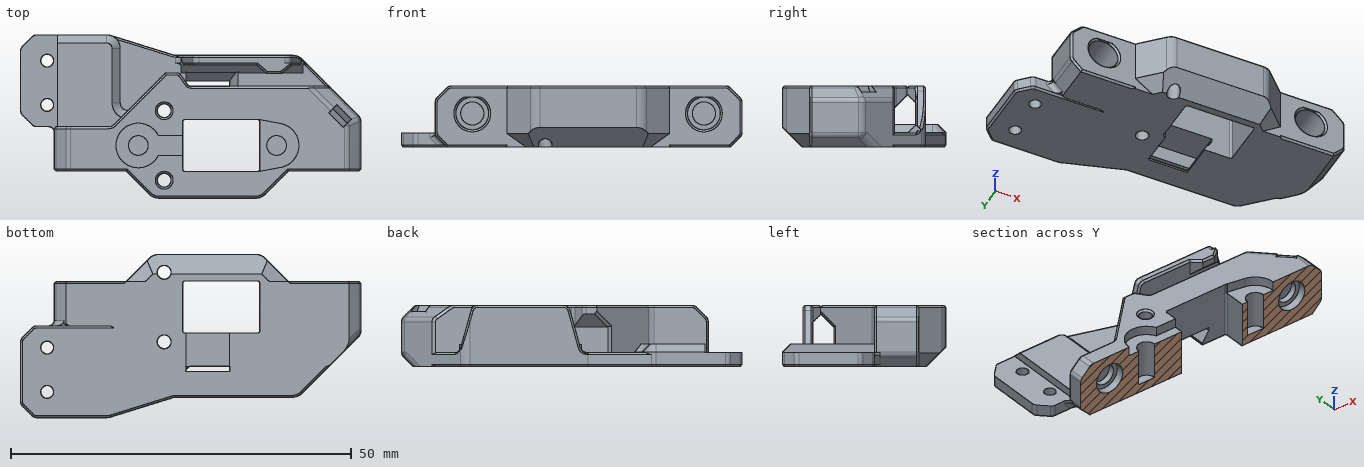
import cadquery as cq
import math

LENGTH = 50.0
DEPTH = 24.0
HEIGHT = 9.0
EDGE_BREAK = 0.3
TOL = 0.01
OVERLAP = 1.0

FLOOR_T = 2.1
TAB_FRONT = 10.5
TAB_CORNER = 2.0
TAB_HOLE_D = 1.85
TAB_HOLE_X = 3.92
TAB_HOLE_Y = (13.7, 20.2)
CLIP_BACK = 21.0
SHOULDER_X = 12.95
CLIP_BASE_LEFT = 22.6
REAR_DIAGONAL_SUM = 61.75
CORNER_R = 2.0
TAB_R = 1.0
TAB_BLEND_R = 0.8

PAD_LEFT = 5.45
PAD_RIGHT = 14.65
PAD_TOP = 3.35
PAD_BEVEL = 1.2
PAD_FLARE_R = 1.1
PAD_FLARE_Y = 14.0

BODY_LEFT = 4.95
BAR_FRONT = 4.0
BODY_BACK = 16.45
JOG_BACK = 18.4
JOG_LEFT = 21.3
JOG_RIGHT = 23.3
JOG_FOOT = 24.7
JOG_R = 0.7
WALL_FOOT_R = 1.2
NOSE_LEFT = 19.5
NOSE_RIGHT = 35.35
NOSE_FRONT_BEVEL = 2.9
NOSE_SIDE_BEVEL = 2.0
END_BEVEL = 2.0
END_BEVEL_LOW = 1.75
END_R = 1.0
REAR_CORNER_R = 1.5
JOG_UNDERCUT_Z = 5.8

WINDOW_LEFT = 23.83
WINDOW_RIGHT = 35.12
WINDOW_W = 7.6
WINDOW_R = 0.3
AXIS_Y = 7.75
RECESS_DEPTH = 1.5
RECESS_R = 3.28
KEYHOLE_X = 17.3
LUG_X = 37.6
KEYHOLE_SLOT_W = 2.9
PILOT_D = 2.9
PILOT_DEPTH = 6.0

THROUGH_X = 21.1
THROUGH_D = 2.0
THROUGH_RIM_D = 2.6
THROUGH_Y = (AXIS_Y - 5.1, AXIS_Y + 5.1)

FRONT_HOLE_X = (10.4, 44.4)
FRONT_HOLE_Z = 4.95
FRONT_HOLE_D = 4.8
FRONT_RIM_D = 5.4
FRONT_FLAT = 2.4
FRONT_HOLE_DEPTH = 5.0
FRONT_TIP_D = 3.4
FRONT_TIP_DEPTH = 1.0

CLIP_FRONT = 19.55
CLIP_TOP_LEFT = 25.45
CLIP_TOP_RIGHT = 39.57
CLIP_FOOT_LEFT = 23.55
CLIP_FOOT_RIGHT = 41.5
CLIP_R = 1.0
CLIP_BASE_BEVEL = 1.15
BUMP_FOOT = (34.7, 39.85)
BUMP_TIP = (36.1, 38.3)
BUMP_FRONT = 18.3
BUMP_BOTTOM = 6.5

WIRE_LEFT = 24.3
WIRE_RIGHT_LOW = 30.7
WIRE_RIGHT_HIGH = 31.9
WIRE_TOP = 2.6
WIRE_LIP = 0.3
WIRE_BACK_LOW = 17.2
WIRE_BACK_HIGH = 18.9

NOTCH_LENGTH = 3.0
NOTCH_CENTRE_X = 47.52
NOTCH_OUTER = 1.1
NOTCH_ROOT = 1.95
NOTCH_INNER = 2.8
NOTCH_ROOT_Z = 7.25


def prism_z(points, z0, z1):
    return cq.Workplane("XY").workplane(offset=z0).polyline(points).close().extrude(z1 - z0)


def prism_x(yz_points, x0, x1):
    return cq.Workplane("YZ").workplane(offset=x0).polyline(yz_points).close().extrude(x1 - x0)


def prism_y(xz_points, y0, y1):
    return cq.Workplane("XZ").workplane(offset=-y1).polyline(xz_points).close().extrude(y1 - y0)


def cylinder_z(x, y, diameter, z0, z1):
    return cq.Workplane("XY").workplane(offset=z0).center(x, y).circle(diameter / 2).extrude(z1 - z0)


def upright_at(x, y, reach=0.05):
    """Selector for the vertical edge standing at (x, y)."""
    low = (x - reach, y - reach, -OVERLAP)
    high = (x + reach, y + reach, HEIGHT + OVERLAP)
    return cq.selectors.BoxSelector(low, high)


def floor_outline(z0, z1):
    diagonal_top_x = REAR_DIAGONAL_SUM - CLIP_BACK
    outline = [
        (BODY_LEFT, TAB_FRONT),
        (TAB_CORNER, TAB_FRONT),
        (0, TAB_FRONT + TAB_CORNER),
        (0, DEPTH - TAB_CORNER),
        (TAB_CORNER, DEPTH),
        (SHOULDER_X, DEPTH),
        (CLIP_BASE_LEFT, CLIP_BACK),
        (diagonal_top_x, CLIP_BACK),
        (REAR_DIAGONAL_SUM - BODY_BACK + END_BEVEL, BODY_BACK - END_BEVEL),
        (JOG_FOOT, TAB_FRONT),
    ]
    plate = prism_z(outline, z0, z1)
    for corner in outline[1:5]:
        plate = plate.edges(upright_at(*corner)).fillet(TAB_R)
    for corner in (outline[5], outline[7]):
        plate = plate.edges(upright_at(*corner)).fillet(CORNER_R)
    return plate


def make_floor():
    """Floor plate with a broken lower rim and broken upper edges along its two slanted rear sides."""
    def rear_diagonal(edge):
        centre = edge.Center()
        return centre.z > FLOOR_T - TOL and centre.x + centre.y > REAR_DIAGONAL_SUM - TOL

    floor = floor_outline(0, FLOOR_T).faces("<Z").chamfer(EDGE_BREAK)
    floor = floor.newObject([e for e in floor.edges("%LINE").vals() if rear_diagonal(e)]).chamfer(EDGE_BREAK)

    run = CLIP_BASE_LEFT - SHOULDER_X
    drop = DEPTH - CLIP_BACK
    edge_break = prism_x(
        [
            (-EDGE_BREAK, FLOOR_T),
            (0, FLOOR_T - EDGE_BREAK),
            (OVERLAP, FLOOR_T - EDGE_BREAK),
            (OVERLAP, FLOOR_T),
        ],
        0,
        math.hypot(run, drop),
    )
    slope_angle = -math.degrees(math.atan2(drop, run))
    return floor.cut(edge_break.rotate((0, 0, 0), (0, 0, 1), slope_angle).translate((SHOULDER_X, DEPTH, 0)))


def make_pad():
    """Raised pad, bevelled along the rear and right, flaring in a quarter circle into the body wall."""
    flare_x = PAD_RIGHT + PAD_FLARE_R
    flare_mid = PAD_FLARE_R * (1 - math.sqrt(0.5))
    pad = (
        cq.Workplane("XY")
        .workplane(offset=EDGE_BREAK)
        .moveTo(PAD_LEFT, TAB_FRONT)
        .lineTo(PAD_LEFT, DEPTH)
        .lineTo(PAD_RIGHT, DEPTH)
        .lineTo(PAD_RIGHT, PAD_FLARE_Y)
        .threePointArc(
            (PAD_RIGHT + flare_mid, PAD_FLARE_Y - PAD_FLARE_R + flare_mid),
            (flare_x, PAD_FLARE_Y - PAD_FLARE_R),
        )
        .lineTo(flare_x + EDGE_BREAK, PAD_FLARE_Y - PAD_FLARE_R)
        .lineTo(flare_x + EDGE_BREAK, TAB_FRONT)
        .close()
        .extrude(PAD_TOP - EDGE_BREAK)
    )
    pad = pad.edges(upright_at(PAD_RIGHT, DEPTH)).fillet(CORNER_R)

    def bevelled(edge):
        box = edge.BoundingBox()
        inner_end = box.xmin > flare_x + TOL
        return box.xmax > PAD_LEFT + TOL and box.ymax > TAB_FRONT + TOL and not inner_end

    return pad.newObject([e for e in pad.faces(">Z").edges().vals() if bevelled(e)]).chamfer(PAD_BEVEL)


def body_outline():
    diagonal_end_y = REAR_DIAGONAL_SUM - LENGTH
    return [
        (BODY_LEFT, BAR_FRONT),
        (NOSE_LEFT - BAR_FRONT, BAR_FRONT),
        (NOSE_LEFT, 0),
        (NOSE_RIGHT, 0),
        (NOSE_RIGHT + BAR_FRONT, BAR_FRONT),
        (LENGTH, BAR_FRONT),
        (LENGTH, diagonal_end_y),
        (REAR_DIAGONAL_SUM - BODY_BACK, BODY_BACK),
        (JOG_FOOT, BODY_BACK),
        (JOG_RIGHT, JOG_BACK),
        (JOG_LEFT, JOG_BACK),
        (JOG_LEFT - (JOG_BACK - TAB_FRONT), TAB_FRONT),
        (BODY_LEFT, TAB_FRONT),
    ]


def bevel_ends(body):
    """Bevel the left and right ends and the top of the rear right diagonal, with rounded transitions."""
    def on_top(edge):
        centre = edge.Center()
        on_diagonal = centre.x + centre.y > REAR_DIAGONAL_SUM - EDGE_BREAK
        at_end = centre.x < BODY_LEFT + EDGE_BREAK or centre.x > LENGTH - EDGE_BREAK
        return centre.z > HEIGHT - EDGE_BREAK and (on_diagonal or at_end)

    def on_bottom(edge):
        centre = edge.Center()
        at_end = centre.x < BODY_LEFT + EDGE_BREAK or centre.x > LENGTH - EDGE_BREAK
        return centre.z < EDGE_BREAK and at_end

    def transition(edge):
        centre = edge.Center()
        low = abs(centre.z - END_BEVEL_LOW) < TOL
        high = abs(centre.z - (HEIGHT - END_BEVEL)) < TOL
        top = centre.z > HEIGHT - TOL
        on_left = centre.x < BODY_LEFT + END_BEVEL + TOL
        on_right = centre.x > LENGTH - END_BEVEL - TOL
        bevel_top_sum = REAR_DIAGONAL_SUM - END_BEVEL * math.sqrt(2)
        on_diagonal = centre.x + centre.y > bevel_top_sum - TOL
        off_front = abs(centre.y - BAR_FRONT) > TOL
        return (low or high or top) and (on_left or on_right or on_diagonal) and off_front

    for wanted, size in ((on_top, END_BEVEL), (on_bottom, END_BEVEL_LOW)):
        body = body.newObject([e for e in body.edges().vals() if wanted(e)]).chamfer(size)
    rounded = [e for e in body.edges().vals() if transition(e)]
    body = body.newObject(rounded).fillet(END_R)
    return body.edges(upright_at(LENGTH, REAR_DIAGONAL_SUM - LENGTH)).fillet(REAR_CORNER_R)


def bevel_nose(body):
    """Slope the underside of the nose at 45 degrees, in front and along both diagonal sides."""
    front_reach = NOSE_FRONT_BEVEL + OVERLAP
    front = prism_x(
        [(-OVERLAP, -OVERLAP), (front_reach, -OVERLAP), (-OVERLAP, front_reach)],
        NOSE_LEFT - BAR_FRONT,
        NOSE_RIGHT + BAR_FRONT,
    )
    body = body.cut(front)
    reach = NOSE_SIDE_BEVEL + OVERLAP
    half_length = 2 * BAR_FRONT
    side = prism_x([(-OVERLAP, -OVERLAP), (reach, -OVERLAP), (-OVERLAP, reach)], -half_length, half_length)
    keep_bar = cq.Workplane("XY").box(LENGTH, BAR_FRONT, HEIGHT, centered=False)
    for x, angle in ((NOSE_LEFT, -45), (NOSE_RIGHT, 45)):
        body = body.cut(side.rotate((0, 0, 0), (0, 0, 1), angle).translate((x, 0, 0)).intersect(keep_bar))
    return body


def break_edges(body):
    """Small chamfer around the top face and around the two front faces of the bar."""
    def on_top(edge):
        centre = edge.Center()
        bevel_inner = REAR_DIAGONAL_SUM - (END_BEVEL + END_R) * math.sqrt(2)
        at_bevel = centre.x < BODY_LEFT + END_BEVEL + END_R and edge.BoundingBox().xlen < TOL
        at_bevel = at_bevel or centre.x > LENGTH - END_BEVEL - END_R
        at_bevel = at_bevel or centre.x + centre.y > bevel_inner
        return centre.z > HEIGHT - TOL and not at_bevel

    def on_front(edge):
        box = edge.BoundingBox()
        on_plane = abs(box.ymin - BAR_FRONT) < TOL and box.ylen < TOL
        nose = NOSE_LEFT - BAR_FRONT - TOL < edge.Center().x < NOSE_RIGHT + BAR_FRONT + TOL
        return on_plane and not nose

    edges = body.edges().vals()
    return body.newObject([e for e in edges if on_top(e) or on_front(e)]).chamfer(EDGE_BREAK)


def undercut_jog(body):
    """Open the gap below the jog, leaving a 45 degree underside."""
    rise = CLIP_FRONT - BODY_BACK
    gap = prism_x(
        [
            (BODY_BACK, FLOOR_T),
            (CLIP_FRONT, FLOOR_T),
            (CLIP_FRONT, JOG_UNDERCUT_Z + rise),
            (BODY_BACK, JOG_UNDERCUT_Z),
        ],
        PAD_RIGHT,
        JOG_FOOT + OVERLAP,
    )
    body = body.cut(gap)

    def gap_rim(edge):
        centre = edge.Center()
        wall_x = JOG_LEFT - JOG_BACK + centre.y
        on_wall = abs(centre.x - wall_x) < TOL
        return on_wall and BODY_BACK - TOL < centre.y < JOG_BACK - TOL and centre.z < HEIGHT - 2 * EDGE_BREAK

    return body.newObject([e for e in body.edges().vals() if gap_rim(e)]).chamfer(EDGE_BREAK)


def make_body():
    outline = body_outline()
    body = prism_z(outline, 0, HEIGHT)
    for x in (NOSE_LEFT, NOSE_RIGHT):
        body = body.edges(upright_at(x, 0)).fillet(CORNER_R)
    for corner in ((JOG_FOOT, BODY_BACK), (JOG_RIGHT, JOG_BACK)):
        body = body.edges(upright_at(*corner)).fillet(JOG_R)
    wall_foot_x = JOG_LEFT - (JOG_BACK - TAB_FRONT)
    body = body.edges(upright_at(wall_foot_x, TAB_FRONT)).fillet(WALL_FOOT_R)
    body = break_edges(bevel_ends(body))
    return undercut_jog(bevel_nose(body))


def make_clip():
    profile = [
        (CLIP_FOOT_LEFT - CLIP_R, EDGE_BREAK),
        (CLIP_FOOT_LEFT - CLIP_R, FLOOR_T),
        (CLIP_FOOT_LEFT, FLOOR_T),
        (CLIP_TOP_LEFT, HEIGHT),
        (CLIP_TOP_RIGHT, HEIGHT),
        (CLIP_FOOT_RIGHT, FLOOR_T),
        (CLIP_FOOT_RIGHT + CLIP_R, FLOOR_T),
        (CLIP_FOOT_RIGHT + CLIP_R, EDGE_BREAK),
    ]
    wall = prism_y(profile, CLIP_FRONT, CLIP_BACK)
    rounded_x = (CLIP_FOOT_LEFT, CLIP_TOP_LEFT, CLIP_TOP_RIGHT, CLIP_FOOT_RIGHT)
    bends = [e for e in wall.edges("|Y").vals() if any(abs(e.Center().x - x) < TOL for x in rounded_x)]
    wall = wall.newObject(bends).fillet(CLIP_R).intersect(floor_outline(EDGE_BREAK, HEIGHT))

    def on_rim(edge):
        box = edge.BoundingBox()
        along = box.xlen > TOL and box.zmax > FLOOR_T + TOL
        front = abs(box.ymin - CLIP_FRONT) < TOL and box.ylen < TOL
        back = box.ymax > CLIP_BACK - TOL and box.ylen < TOL
        return along and (front or back)

    wall = wall.newObject([e for e in wall.edges().vals() if on_rim(e)]).chamfer(EDGE_BREAK)
    base = prism_x(
        [
            (CLIP_BACK, 0),
            (CLIP_BACK, FLOOR_T),
            (CLIP_FRONT, FLOOR_T + CLIP_BASE_BEVEL),
            (CLIP_FRONT - CLIP_BASE_BEVEL, FLOOR_T),
            (CLIP_FRONT - CLIP_BASE_BEVEL, 0),
        ],
        CLIP_FOOT_LEFT,
        CLIP_FOOT_RIGHT,
    )
    return wall.union(base.intersect(floor_outline(EDGE_BREAK, HEIGHT))).union(make_bump())


def make_bump():
    plan = prism_z(
        [
            (BUMP_FOOT[0], CLIP_FRONT + EDGE_BREAK),
            (BUMP_FOOT[0], CLIP_FRONT),
            (BUMP_TIP[0], BUMP_FRONT),
            (BUMP_TIP[1], BUMP_FRONT),
            (BUMP_FOOT[1], CLIP_FRONT),
            (BUMP_FOOT[1], CLIP_FRONT + EDGE_BREAK),
        ],
        BUMP_BOTTOM,
        HEIGHT,
    )
    sloped = prism_x(
        [
            (CLIP_FRONT + EDGE_BREAK, BUMP_BOTTOM),
            (CLIP_FRONT, BUMP_BOTTOM),
            (BUMP_FRONT, BUMP_BOTTOM + CLIP_FRONT - BUMP_FRONT),
            (BUMP_FRONT, HEIGHT),
            (CLIP_FRONT + EDGE_BREAK, HEIGHT),
        ],
        *BUMP_FOOT,
    )
    end_envelope = prism_y(
        [(BUMP_FOOT[0], 0), (BUMP_FOOT[0], HEIGHT), (CLIP_TOP_RIGHT, HEIGHT), (CLIP_FOOT_RIGHT, FLOOR_T)],
        0,
        DEPTH,
    )
    bump = plan.intersect(sloped).intersect(end_envelope)
    front_rim = [e for e in bump.faces(">Z").edges().vals() if e.Center().y < CLIP_FRONT - TOL]
    return bump.newObject(front_rim).chamfer(EDGE_BREAK)


def window_cutter():
    """Through window, keyhole recess on its left and tapered recess on its right."""
    floor_z = HEIGHT - RECESS_DEPTH
    half_w = WINDOW_W / 2
    half_slot = KEYHOLE_SLOT_W / 2
    window = prism_z(
        [
            (WINDOW_LEFT, AXIS_Y - half_w),
            (WINDOW_RIGHT, AXIS_Y - half_w),
            (WINDOW_RIGHT, AXIS_Y + half_w),
            (WINDOW_LEFT, AXIS_Y + half_w),
        ],
        -OVERLAP,
        HEIGHT + OVERLAP,
    ).edges("|Z").fillet(WINDOW_R)
    slot = prism_z(
        [
            (KEYHOLE_X, AXIS_Y - half_slot),
            (WINDOW_LEFT + OVERLAP, AXIS_Y - half_slot),
            (WINDOW_LEFT + OVERLAP, AXIS_Y + half_slot),
            (KEYHOLE_X, AXIS_Y + half_slot),
        ],
        floor_z,
        HEIGHT,
    )
    corner_distance = math.hypot(LUG_X - WINDOW_RIGHT, half_w)
    corner_angle = math.atan2(half_w, WINDOW_RIGHT - LUG_X)
    tangent_angle = corner_angle - math.acos(RECESS_R / corner_distance)
    tangent_x = LUG_X + RECESS_R * math.cos(tangent_angle)
    tangent_dy = RECESS_R * math.sin(tangent_angle)
    taper = prism_z(
        [
            (WINDOW_RIGHT, AXIS_Y - half_w),
            (tangent_x, AXIS_Y - tangent_dy),
            (tangent_x, AXIS_Y + tangent_dy),
            (WINDOW_RIGHT, AXIS_Y + half_w),
        ],
        floor_z,
        HEIGHT,
    )
    cutter = window.union(slot).union(taper)
    for x in (KEYHOLE_X, LUG_X):
        cutter = cutter.union(cylinder_z(x, AXIS_Y, 2 * RECESS_R, floor_z, HEIGHT))
        cutter = cutter.union(cylinder_z(x, AXIS_Y, PILOT_D, floor_z - PILOT_DEPTH, HEIGHT))
    return cutter


def through_hole_cutter(y):
    rim_depth = (THROUGH_RIM_D - THROUGH_D) / 2
    shaft = cylinder_z(THROUGH_X, y, THROUGH_D, -OVERLAP, HEIGHT)
    rim = cylinder_z(THROUGH_X, y, THROUGH_RIM_D, HEIGHT - rim_depth, HEIGHT)
    return shaft.union(rim.faces("<Z").chamfer(rim_depth - TOL))


def front_hole_cutter(x):
    """Blind hole along Y with a chamfered mouth, a flat on top and a narrower tip."""
    def bore(diameter, y0, y1):
        mouth = cq.Workplane("XZ").workplane(offset=-y0).center(x, FRONT_HOLE_Z)
        return mouth.circle(diameter / 2).extrude(y0 - y1)

    end_y = BAR_FRONT + FRONT_HOLE_DEPTH
    rim_depth = (FRONT_RIM_D - FRONT_HOLE_D) / 2
    main = bore(FRONT_HOLE_D, BAR_FRONT, end_y)
    rim = bore(FRONT_RIM_D, BAR_FRONT, BAR_FRONT + rim_depth).faces(">Y").chamfer(rim_depth - TOL)
    tip = bore(FRONT_TIP_D, end_y, end_y + FRONT_TIP_DEPTH)
    below_flat = cq.Workplane("XY").box(LENGTH * 2, DEPTH * 2, 2 * (FRONT_HOLE_Z + FRONT_FLAT))
    return main.union(rim).union(tip).intersect(below_flat)


def wire_passage_cutter():
    side_profile = prism_x(
        [
            (AXIS_Y, -OVERLAP),
            (WIRE_BACK_LOW, -OVERLAP),
            (WIRE_BACK_LOW, WIRE_LIP),
            (WIRE_BACK_HIGH, FLOOR_T),
            (BODY_BACK, WIRE_TOP),
            (AXIS_Y, WIRE_TOP),
        ],
        WIRE_LEFT,
        WIRE_RIGHT_HIGH,
    )
    front_profile = prism_y(
        [
            (WIRE_LEFT, -OVERLAP),
            (WIRE_RIGHT_LOW, -OVERLAP),
            (WIRE_RIGHT_LOW, WIRE_LIP),
            (WIRE_RIGHT_HIGH, FLOOR_T),
            (WIRE_RIGHT_HIGH, WIRE_TOP),
            (WIRE_LEFT, WIRE_TOP),
        ],
        AXIS_Y,
        DEPTH,
    )
    return side_profile.intersect(front_profile)


def notch_cutter():
    """V-shaped notch in the bevel; built along X, then turned onto the diagonal."""
    outer_z = HEIGHT - END_BEVEL + NOTCH_OUTER
    profile = [
        (-NOTCH_OUTER, outer_z),
        (-NOTCH_ROOT, NOTCH_ROOT_Z),
        (-NOTCH_INNER, HEIGHT),
        (-NOTCH_OUTER, HEIGHT),
    ]
    notch = prism_x(profile, -NOTCH_LENGTH / 2, NOTCH_LENGTH / 2)
    inset = NOTCH_OUTER / math.sqrt(2)
    foot_x = NOTCH_CENTRE_X + inset
    return notch.rotate((0, 0, 0), (0, 0, 1), -45).translate((foot_x, REAR_DIAGONAL_SUM - foot_x, 0))


def make_tab_blend():
    """Concave round where the front of the tab runs into the bevelled left end of the body."""
    inner_x = BODY_LEFT + END_BEVEL
    end_profile = [
        (BODY_LEFT, HEIGHT),
        (BODY_LEFT, END_BEVEL_LOW),
        (BODY_LEFT + END_BEVEL_LOW, 0),
        (inner_x, 0),
        (inner_x, HEIGHT),
    ]
    end = prism_y(end_profile, AXIS_Y, TAB_FRONT + OVERLAP)
    end = end.edges(cq.selectors.NearestToPointSelector((BODY_LEFT, AXIS_Y, END_BEVEL_LOW))).fillet(END_R)
    tab = prism_z(
        [
            (PAD_LEFT / 2, TAB_FRONT),
            (inner_x, TAB_FRONT),
            (inner_x, TAB_FRONT + OVERLAP),
            (PAD_LEFT / 2, TAB_FRONT + OVERLAP),
        ],
        0,
        HEIGHT,
    )
    corner = end.union(tab)

    def inner_corner(edge):
        box = edge.BoundingBox()
        on_plane = abs(box.ymin - TAB_FRONT) < TOL and box.ylen < TOL
        return on_plane and box.zlen > TOL and box.xmin > BODY_LEFT - TOL and box.xmax < inner_x - TOL

    corner = corner.newObject([e for e in corner.edges().vals() if inner_corner(e)]).fillet(TAB_BLEND_R)
    limits = cq.Workplane("XY").box(LENGTH, DEPTH, FLOOR_T - EDGE_BREAK, centered=False)
    return corner.intersect(limits.translate((0, TAB_FRONT - TAB_BLEND_R, EDGE_BREAK)))


result = make_floor().union(make_pad()).union(make_body()).union(make_tab_blend()).union(make_clip())
result = result.cut(window_cutter()).cut(wire_passage_cutter()).cut(notch_cutter())
for hole_y in THROUGH_Y:
    result = result.cut(through_hole_cutter(hole_y))
for hole_x in FRONT_HOLE_X:
    result = result.cut(front_hole_cutter(hole_x))
for hole_y in TAB_HOLE_Y:
    result = result.cut(cylinder_z(TAB_HOLE_X, hole_y, TAB_HOLE_D, -OVERLAP, HEIGHT))